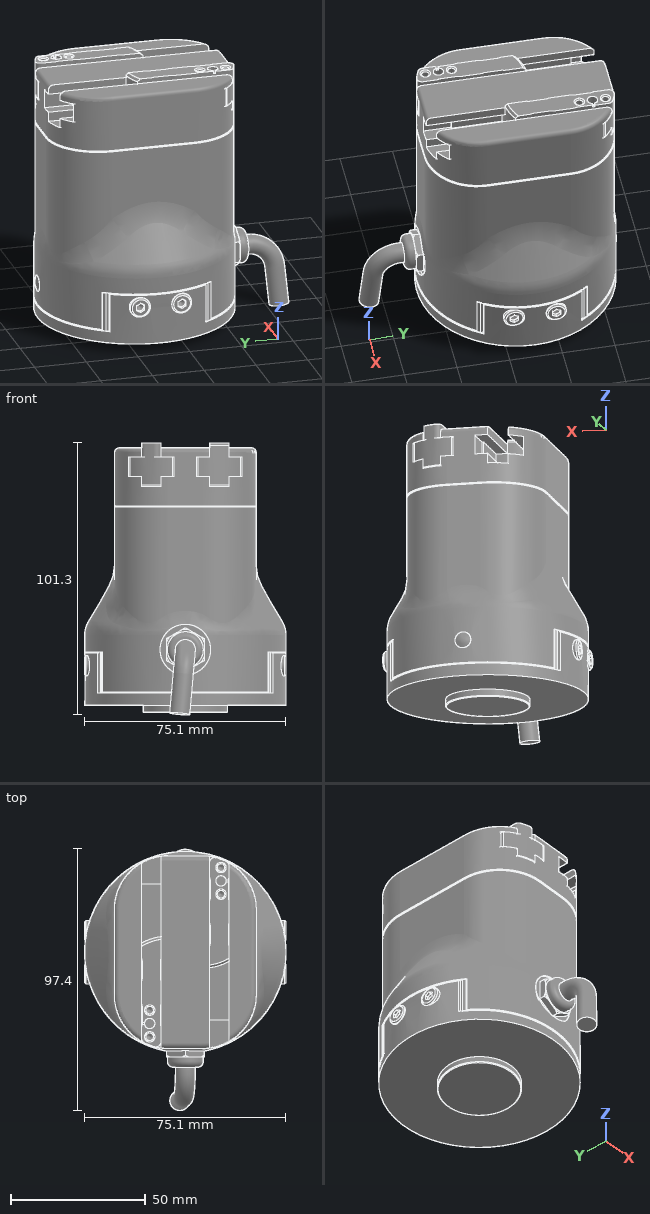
import cadquery as cq
import math


base_diameter = 75.1
base_radius = base_diameter / 2
cone_start_z = 28.8
cone_angle = 30.0
cone_end_z = 60.8
base_fillet = 10.1
shoulder_fillet = 15.2
pilot_radius = 15.7
pilot_height = 2.7
pilot_chamfer = 0.3

block_width = 52.9
block_depth = 71.8
block_corner = 20.0
block_top_z = 96.0
block_top_fillet = 1.9
block_joint_z = 74.1

joint_gap = 0.4
joint_depth = 0.3
flange_joint_z = 4.8
tab_top_z = 19.7
tab_half_width = 18.6
window_half_width = 21.0
tab_flat_x = 31.6

jaw_offset_x = 12.7
stem_width = 7.3
arm_width = 15.8
mouth_clearance = 0.6
mouth_start_y = 25.3
arm_bottom_z = 85.3
arm_top_z = 92.5
slot_bottom_z = 82.0
mouth_bottom_z = 81.6
jaw_top_z = 97.8
jaw_length = 41.9
neck_corner_fillet = 2.0
jaw_end_chamfer = 1.0
recess_depth = 0.3
recess_length = 8.8
recess_ramp = 1.1
recess_places_y = (-23.5, -6.6)
jaw_hole_x = -13.3
jaw_hole_y = -26.6
jaw_hole_pitch = 5.0
tapped_radius = 1.4
tapped_rim_radius = 1.9
tapped_depth = 6.1
dowel_radius = 1.9
dowel_depth = 4.1
vent_width = 0.8
vent_depth = 1.0
drill_tip_slope = math.tan(math.radians(31.0))

screw_face_x = base_radius
screw_radius = 3.9
screw_chamfer = 0.6
screw_length = 5.1
screw_y = 8.0
screw_z = 14.8
socket_flats = 3.1
socket_depth = 1.2
dome_radius = 3.0
dome_height = 0.8
dome_z = 13.7
dome_mid_height = 0.6
dome_root = 1.0

gland_z = 20.8
spotface_y = 36.3
spotface_radius = 9.4
hex_flats = 14.1
hex_front_y = 39.0
hex_chamfer = 0.6
cap_radius = 6.7
cap_front_y = 42.9
cap_fillet = 2.1
cable_radius = 3.8
bend_start_y = 43.9
bend_radius = 10.1
cable_tilt = 5.0
cable_tail = 14.8

hex_corner_ratio = 2 / math.sqrt(3)

tall = 202.8


def box(x_range, y_range, z_range):
    size = [high - low for low, high in (x_range, y_range, z_range)]
    return cq.Workplane("XY").box(*size, centered=False).translate((x_range[0], y_range[0], z_range[0]))


def block_prism(bottom_z, top_z, inset=0.0):
    """Upright block with the rounded rectangle outline of the housing."""
    blank = cq.Workplane("XY", origin=(0, 0, bottom_z))
    blank = blank.rect(block_width - 2 * inset, block_depth - 2 * inset).extrude(top_z - bottom_z)
    return blank.edges("|Z").fillet(block_corner - inset)


def make_base():
    """Round base whose wall turns through an arc into a cone."""
    angle = math.radians(cone_angle)
    tangent = base_fillet * math.tan(angle / 2)
    arc_start_z = cone_start_z - tangent
    arc_center_r = base_radius - base_fillet
    arc_middle = (arc_center_r + base_fillet * math.cos(angle / 2),
                  arc_start_z + base_fillet * math.sin(angle / 2))
    arc_end = (arc_center_r + base_fillet * math.cos(angle),
               arc_start_z + base_fillet * math.sin(angle))
    cone_end_radius = base_radius - (cone_end_z - cone_start_z) * math.tan(angle)
    return (
        cq.Workplane("XZ")
        .lineTo(base_radius, 0)
        .lineTo(base_radius, arc_start_z)
        .threePointArc(arc_middle, arc_end)
        .lineTo(cone_end_radius, cone_end_z)
        .lineTo(0, cone_end_z)
        .close()
        .revolve(360, (0, 0, 0), (0, 1, 0))
    )


def make_shell():
    """Base and upper block, blended along the curve where the cone meets the block."""
    shell = make_base().union(block_prism(0, block_top_z))
    meeting_curve = [
        edge for edge in shell.edges().vals()
        if edge.geomType() not in ("CIRCLE", "LINE") and edge.BoundingBox().zmax < cone_end_z
    ]
    shell = cq.Workplane(shell.val().fillet(shoulder_fillet, meeting_curve))
    shell = shell.faces(">Z").edges().fillet(block_top_fillet)
    pilot = cq.Workplane("XY").circle(pilot_radius).extrude(-pilot_height)
    return shell.union(pilot.faces("<Z").chamfer(pilot_chamfer))


def cross_profile(bottom_z, width, top_z):
    """Bar along Y with a cross-shaped section: a stem with two side arms."""
    half_stem = stem_width / 2
    stem = box((-half_stem, half_stem), (-tall, tall), (bottom_z, top_z))
    arms = box((-width / 2, width / 2), (-tall, tall), (arm_bottom_z, arm_top_z))
    return stem.union(arms)


def cut_jaw_slots(body):
    """Two slots that fit the jaws, with slightly wider and deeper mouths at both ends."""
    mouth = cross_profile(mouth_bottom_z, arm_width + 2 * mouth_clearance, tall)
    mouth = mouth.cut(box((-tall, tall), (-mouth_start_y, mouth_start_y), (0, 2 * tall)))
    slot = cross_profile(slot_bottom_z, arm_width, tall).union(mouth)
    for side in (-1, 1):
        body = body.cut(slot.translate((side * jaw_offset_x, 0, 0)))
    return body


def cut_joint_lines(body):
    """Shallow grooves around the head and around the cover with its two tabs."""
    half_gap = joint_gap / 2
    head_low = block_joint_z - half_gap
    head_high = block_joint_z + half_gap
    head_groove = box((-tall, tall), (-tall, tall), (head_low, head_high))
    body = body.cut(head_groove.cut(block_prism(head_low, head_high, joint_depth)))

    core = cq.Workplane("XY").circle(base_radius - joint_depth).extrude(cone_start_z)
    flat_core = core.intersect(box((-tab_flat_x, tab_flat_x), (-tall, tall), (0, cone_start_z)))
    flange_range = (flange_joint_z - half_gap, flange_joint_z + half_gap)
    tab_top_range = (tab_top_z - half_gap, tab_top_z + half_gap)
    column_range = (flange_range[0], tab_top_range[1])
    window = (-window_half_width, window_half_width)
    for side in (-1, 1):
        side_y = sorted((side * tab_half_width, side * tall))
        column_y = sorted((side * tab_half_width, side * window_half_width))
        outer_x = sorted((0, side * tall))
        body = body.cut(box((-tall, tall), side_y, flange_range).cut(core))
        body = body.cut(box(outer_x, window, tab_top_range).cut(core))
        body = body.cut(box((-tall, tall), column_y, column_range).cut(flat_core))
    return body


def make_screw():
    """Socket head screw along +X, placed on the X axis."""
    head = cq.Workplane("YZ", origin=(screw_face_x - screw_length, 0, 0))
    head = head.circle(screw_radius).extrude(screw_length)
    head = head.faces(">X").chamfer(screw_chamfer)
    socket_diameter = socket_flats * hex_corner_ratio
    socket = cq.Workplane("YZ", origin=(screw_face_x, 0, 0)).polygon(6, socket_diameter)
    socket = socket.extrude(-socket_depth).rotate((0, 0, 0), (1, 0, 0), 90)
    tip_radius = socket_flats / 2
    tip = cq.Solid.makeCone(
        tip_radius, 0, tip_radius * drill_tip_slope,
        cq.Vector(screw_face_x - socket_depth, 0, 0), cq.Vector(-1, 0, 0),
    )
    return head.cut(socket).cut(cq.Workplane(tip))


def add_screws(body):
    for turn in (0, 180):
        for y in (-screw_y, screw_y):
            head = make_screw().translate((0, y, screw_z))
            clearance = cq.Workplane("YZ", origin=(screw_face_x - screw_length, y, screw_z))
            clearance = clearance.circle(screw_radius).extrude(tall)
            z_axis = ((0, 0, 0), (0, 0, 1), turn)
            body = body.cut(clearance.rotate(*z_axis)).union(head.rotate(*z_axis))
    return body


def add_rear_dome(body):
    """Shallow domed plug on the +Y side."""
    dome_tip_y = base_radius + dome_height
    dome = (
        cq.Workplane("XY")
        .moveTo(0, base_radius - dome_root)
        .lineTo(dome_radius, base_radius - dome_root)
        .lineTo(dome_radius, base_radius)
        .threePointArc((dome_radius / 2, base_radius + dome_mid_height), (0, dome_tip_y))
        .close()
        .revolve(360, (0, 0, 0), (0, 1, 0))
    )
    return body.union(dome.translate((0, 0, dome_z)))


def gland_plane(y):
    """Plane on the gland axis that faces -Y."""
    return cq.Workplane("XZ", origin=(0, -y, gland_z))


def make_gland():
    hex_diameter = hex_flats * hex_corner_ratio
    hex_length = hex_front_y - spotface_y
    nut = gland_plane(spotface_y).polygon(6, hex_diameter).extrude(hex_length)
    nut = nut.rotate((0, 0, gland_z), (0, 1, gland_z), 90)
    turned_blank = gland_plane(spotface_y).circle(hex_diameter / 2).extrude(hex_length)
    nut = nut.intersect(turned_blank.faces("<Y").chamfer(hex_chamfer))
    cap = gland_plane(hex_front_y).circle(cap_radius).extrude(cap_front_y - hex_front_y)
    return nut.union(cap.faces("<Y").edges().fillet(cap_fillet))


def make_cable():
    """Cable that leaves the gland along -Y, bends down and hangs with a slight lean."""
    lean = math.tan(math.radians(cable_tilt))
    start_direction = cq.Vector(0, -1, 0)
    end_direction = cq.Vector(-lean, -lean, -1).normalized()
    bend_angle = start_direction.getAngle(end_direction)
    inward = cq.Vector(-lean, 0, -1).normalized()

    def on_bend(angle):
        forward = start_direction * (bend_radius * math.sin(angle))
        return bend_start + forward + inward * (bend_radius * (1 - math.cos(angle)))

    cable_start = cq.Vector(0, -hex_front_y, gland_z)
    bend_start = cq.Vector(0, -bend_start_y, gland_z)
    bend_end = on_bend(bend_angle)
    path = cq.Wire.assembleEdges([
        cq.Edge.makeLine(cable_start, bend_start),
        cq.Edge.makeThreePointArc(bend_start, on_bend(bend_angle / 2), bend_end),
        cq.Edge.makeLine(bend_end, bend_end + end_direction * cable_tail),
    ])
    return gland_plane(hex_front_y).circle(cable_radius).sweep(path)


def add_cable_entry(body):
    spotface = gland_plane(spotface_y).circle(spotface_radius).extrude(tall)
    return body.cut(spotface).union(make_gland()).union(make_cable())


def make_housing():
    body = make_shell()
    body = cut_jaw_slots(body)
    body = cut_joint_lines(body)
    body = add_screws(body)
    body = add_rear_dome(body)
    return add_cable_entry(body)


def jaw_plan(bottom_z, top_z):
    """Plan of the front jaw: flush with the block at -Y, the same curve again at its inner end."""
    plan = block_prism(bottom_z, top_z)
    return plan.intersect(plan.translate((0, jaw_length - block_depth, 0)))


def make_neck():
    """Upper part of the jaw, which stands out of the slot."""
    half_stem = stem_width / 2
    sides = (-jaw_offset_x - half_stem, -jaw_offset_x + half_stem)
    neck = box(sides, (-tall, tall), (arm_top_z, jaw_top_z)).intersect(jaw_plan(arm_top_z, jaw_top_z))
    outer_half = cq.selectors.BoxSelector((-tall, -tall, 0), (tall, -block_corner, tall))
    neck = neck.edges("|Z").edges(outer_half).fillet(neck_corner_fillet)
    neck = neck.faces(">Z").edges(">Y").chamfer(jaw_end_chamfer)
    half_length = recess_length / 2
    half_floor = half_length - recess_ramp
    for y in recess_places_y:
        for side_x, inward in zip(sides, (recess_depth, -recess_depth)):
            neck = neck.cut(
                cq.Workplane("XY", origin=(side_x, y, arm_top_z))
                .moveTo(0, -half_length)
                .lineTo(inward, -half_floor)
                .lineTo(inward, half_floor)
                .lineTo(0, half_length)
                .close()
                .extrude(jaw_top_z - arm_top_z)
            )
    return neck


def tapped_hole(x, y):
    """Countersunk blind hole with a drill tip."""
    rim_depth = tapped_rim_radius - tapped_radius
    tip_depth = tapped_depth + tapped_radius * drill_tip_slope
    return (
        cq.Workplane("XZ")
        .lineTo(tapped_rim_radius, 0)
        .lineTo(tapped_radius, -rim_depth)
        .lineTo(tapped_radius, -tapped_depth)
        .lineTo(0, -tip_depth)
        .close()
        .revolve(360, (0, 0, 0), (0, 1, 0))
        .translate((x, y, jaw_top_z))
    )


def cut_jaw_holes(jaw):
    """Dowel hole with a side vent, between two tapped holes."""
    dowel = cq.Workplane("XY", origin=(jaw_hole_x, jaw_hole_y, jaw_top_z))
    jaw = jaw.cut(dowel.circle(dowel_radius).extrude(-dowel_depth))
    vent_y = (jaw_hole_y - vent_width / 2, jaw_hole_y + vent_width / 2)
    jaw = jaw.cut(box((-tall, jaw_hole_x), vent_y, (jaw_top_z - vent_depth, tall)))
    for side in (-1, 1):
        jaw = jaw.cut(tapped_hole(jaw_hole_x, jaw_hole_y + side * jaw_hole_pitch))
    return jaw


def make_jaw(turn):
    """Front jaw, turned about Z to its side of the gripper."""
    slider = cross_profile(slot_bottom_z, arm_width, arm_top_z).translate((-jaw_offset_x, 0, 0))
    slider = slider.intersect(jaw_plan(slot_bottom_z, arm_top_z))
    jaw = cut_jaw_holes(slider.union(make_neck()))
    return jaw.rotate((0, 0, 0), (0, 0, 1), turn)


housing = make_housing()
jaws = [make_jaw(turn) for turn in (0, 180)]

result = cq.Compound.makeCompound([housing.val(), *[jaw.val() for jaw in jaws]])